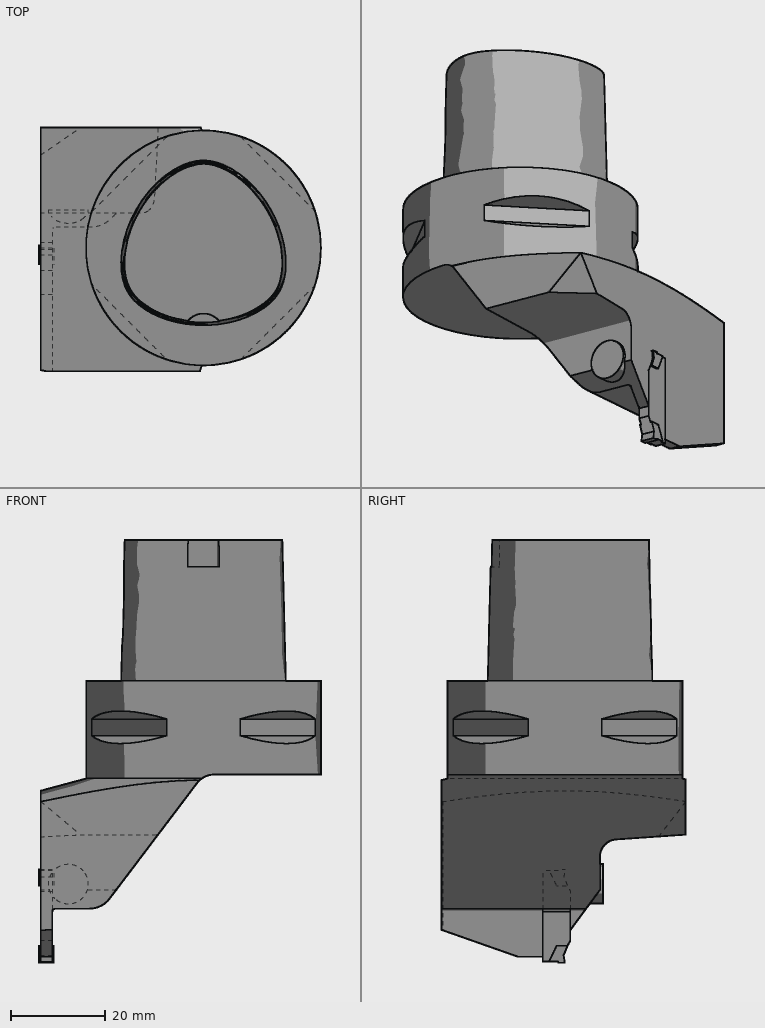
import cadquery as cq
import math


total_width = 60.0
total_height = 90

shank_length = 30.0
shank_base_radius = 17.55
shank_lobe = 1.1
shank_taper = 1 / 40
lobe_count = 3
outline_points = 36
notch_diameter = 8.5
notch_depth = 5.8
notch_center_y = -18.2

flange_radius = 25.0
flange_thickness = 20.0
slot_count = 4
slot_floor_distance = 22.3
slot_center_z = -9.9
slot_floor_half_height = 1.755
slot_mouth_half_height = 3.465

blade_face_x = -34.65
blade_back_x = -32.1
head_max_y = 25.65
head_min_y = -26.3
head_top_angle = 15
head_top_edge_z = -20.8
block_bottom_z = -48.5
block_slope_start_x = -21.6
block_bottom_radius = 5.4
block_flange_radius = 4.5
blade_root_radius = 0.6
blade_tip_z = -58.8
blade_slant_z = -53.0
blade_tip_max_y = -3.1
blade_tip_min_y = -9.9
step_outer_z = -32.8
step_inner_z = -34.0
step_y = 7.5
step_radius = 3.6
step_bottom_z = -44.5
chamfer_y = 5.85
chamfer_bottom_y = head_max_y - chamfer_y
chamfer_bottom_z = -33.2
chamfer_depth_x = 9.0
chamfer_overrun = 1.8
corner_relief_x = 1.3
corner_relief_y = 0.3

screw_diameter = 8.5
screw_x = -28.8
screw_z = -43.2
screw_height = 0.6

insert_min_y = -4.8
insert_max_y = 1.2
insert_bottom_z = shank_length - total_height
insert_half_length = 10.0
insert_center_z = insert_bottom_z + insert_half_length
insert_waist_half = 5.2
tip_inner_half = 6.4
tip_neck_half = 8.4
tip_inner_y = 0.5
tip_neck_y = -0.3
tip_relief_z = 0.3
tip_relief_y = -1.4
tip_end_min_y = -3.4
tip_inner_min_y = -1.8
tip_front_x = flange_radius - total_width
tip_back_x = -31.9


def lobed_outline(radius):
    """Points of a curve of nearly constant width with one lobe toward +Y."""
    points = []
    for i in range(outline_points):
        angle = 2 * math.pi * i / outline_points
        phase = lobe_count * (angle - math.pi / 2)
        support = radius + shank_lobe * math.cos(phase)
        slope = -lobe_count * shank_lobe * math.sin(phase)
        points.append((
            support * math.cos(angle) - slope * math.sin(angle),
            support * math.sin(angle) + slope * math.cos(angle),
        ))
    return points


def make_shank():
    top_radius = shank_base_radius - shank_length * shank_taper
    shank = (
        cq.Workplane("XY")
        .spline(lobed_outline(shank_base_radius), periodic=True).close()
        .workplane(offset=shank_length)
        .spline(lobed_outline(top_radius), periodic=True).close()
        .loft(combine=True)
    )
    notch = (
        cq.Workplane("XY", origin=(0, notch_center_y, shank_length - notch_depth))
        .circle(notch_diameter / 2)
        .extrude(notch_depth)
    )
    return shank.cut(notch)


def make_flange():
    flange = cq.Workplane("XY").circle(flange_radius).extrude(-flange_thickness)
    slot_depth = flange_radius - slot_floor_distance
    slot = (
        cq.Workplane("XZ", origin=(slot_floor_distance, 0, slot_center_z))
        .polyline([
            (0, -slot_floor_half_height),
            (slot_depth, -slot_mouth_half_height),
            (slot_depth, slot_mouth_half_height),
            (0, slot_floor_half_height),
        ])
        .close()
        .extrude(flange_radius, both=True)
    )
    pitch = 360 / slot_count
    for i in range(slot_count):
        flange = flange.cut(slot.rotate((0, 0, 0), (0, 0, 1), pitch * (i + 0.5)))
    return flange


def block_side_prism():
    """Block and blade outline in XZ, with its rounded corners along Y."""
    prism = (
        cq.Workplane("XZ", origin=(0, head_max_y, 0))
        .moveTo(blade_face_x, blade_tip_z)
        .lineTo(blade_back_x, blade_tip_z)
        .lineTo(blade_back_x, block_bottom_z)
        .lineTo(block_slope_start_x, block_bottom_z)
        .lineTo(0, -flange_thickness)
        .lineTo(blade_face_x, -flange_thickness)
        .close()
        .extrude(head_max_y - head_min_y)
    )
    corners = (
        (blade_back_x, block_bottom_z, blade_root_radius),
        (block_slope_start_x, block_bottom_z, block_bottom_radius),
    )
    middle_y = (head_max_y + head_min_y) / 2
    for x, z, radius in corners:
        corner = cq.selectors.NearestToPointSelector((x, middle_y, z))
        prism = prism.edges("|Y").edges(corner).fillet(radius)
    return prism


def head_face_prism():
    """Head outline in YZ, with the stepped and slanted lower edge."""
    prism = (
        cq.Workplane("YZ", origin=(blade_face_x, 0, 0))
        .moveTo(head_max_y, 0)
        .lineTo(head_max_y, step_outer_z)
        .lineTo(step_y, step_inner_z)
        .lineTo(step_y, step_bottom_z)
        .lineTo(insert_max_y, blade_slant_z)
        .lineTo(blade_tip_max_y, blade_tip_z)
        .lineTo(blade_tip_min_y, blade_tip_z)
        .lineTo(head_min_y, blade_slant_z)
        .lineTo(head_min_y, 0)
        .close()
        .extrude(-blade_face_x + flange_radius)
    )
    corner = cq.selectors.NearestToPointSelector((0, step_y, step_inner_z))
    return prism.edges("|X").edges(corner).fillet(step_radius)


def cone_z(radius):
    """Height of the conical top of the head at a distance from the tool axis."""
    return head_top_edge_z - (radius - flange_radius) * math.tan(math.radians(head_top_angle))


def conical_envelope():
    reach = 2 * flange_radius
    return (
        cq.Workplane("XZ")
        .polyline([
            (0, insert_bottom_z),
            (reach, insert_bottom_z),
            (reach, cone_z(reach)),
            (flange_radius, head_top_edge_z),
            (flange_radius, -flange_thickness),
            (0, -flange_thickness),
        ])
        .close()
        .revolve(360, (0, 0, 0), (0, 1, 0))
    )


def corner_chamfer():
    """Tetrahedron cutting the front lower corner on the +Y side of the head."""
    top_z = cone_z(math.hypot(blade_face_x, head_max_y))
    slope = (top_z - chamfer_bottom_z) / chamfer_y
    corner_y = head_max_y + chamfer_overrun
    bottom_z = chamfer_bottom_z - chamfer_overrun
    edge_y = chamfer_bottom_y - chamfer_overrun / slope
    edge_z = top_z + chamfer_overrun * slope
    growth = (edge_z - bottom_z) / (top_z - chamfer_bottom_z)
    corner = cq.Vector(blade_face_x, corner_y, bottom_z)
    upper = cq.Vector(blade_face_x, corner_y, edge_z)
    inner = cq.Vector(blade_face_x, edge_y, bottom_z)
    deep = cq.Vector(blade_face_x + growth * chamfer_depth_x, corner_y, bottom_z)
    triangles = (
        (corner, upper, inner),
        (corner, deep, upper),
        (corner, inner, deep),
        (upper, deep, inner),
    )
    faces = [
        cq.Face.makeFromWires(cq.Wire.makePolygon([*triangle, triangle[0]]))
        for triangle in triangles
    ]
    return cq.Workplane(cq.Solid.makeSolid(cq.Shell.makeShell(faces)))


def make_head():
    head = block_side_prism().intersect(head_face_prism()).intersect(conical_envelope())
    head = head.cut(corner_chamfer())
    relief = (
        cq.Workplane("XY", origin=(blade_face_x, head_min_y, insert_bottom_z))
        .polyline([(0, 0), (corner_relief_x, 0), (0, corner_relief_y)])
        .close()
        .extrude(-insert_bottom_z)
    )
    return head.cut(relief)


def flange_blend():
    """Concave round between the sloped back of the block and the flange underside."""
    slope_angle = math.atan2(-flange_thickness - block_bottom_z, -block_slope_start_x)
    tangent = block_flange_radius * math.tan(slope_angle / 2)
    slope_point = (-tangent * math.cos(slope_angle), -flange_thickness - tangent * math.sin(slope_angle))
    middle = (
        tangent - block_flange_radius * math.sin(slope_angle / 2),
        -flange_thickness - block_flange_radius * (1 - math.cos(slope_angle / 2)),
    )
    wedge = (
        cq.Workplane("XZ", origin=(0, head_max_y, 0))
        .moveTo(0, -flange_thickness)
        .lineTo(*slope_point)
        .threePointArc(middle, (tangent, -flange_thickness))
        .close()
        .extrude(head_max_y - head_min_y)
    )
    return wedge.intersect(conical_envelope())


def make_screw_head():
    length = step_y - insert_max_y + screw_height
    return (
        cq.Workplane("XZ", origin=(screw_x, step_y + screw_height, screw_z))
        .circle(screw_diameter / 2)
        .extrude(length)
    )


def make_insert():
    """Bar lying in the blade, with a raised cutting tip at each end."""
    plane = cq.Workplane("YZ", origin=(blade_face_x, 0, insert_center_z))
    end = insert_half_length
    shoulder = end - tip_relief_z
    edge_up = [
        (insert_max_y, insert_waist_half),
        (tip_inner_y, tip_inner_half),
        (tip_neck_y, tip_neck_half),
        (0, end),
        (tip_relief_y, end),
        (tip_relief_y, shoulder),
        (insert_min_y, shoulder),
    ]
    edge_down = [(y, -z) for y, z in reversed(edge_up)]
    insert = plane.polyline(edge_up + edge_down).close().extrude(blade_back_x - blade_face_x)
    for side in (1, -1):
        tip = (
            cq.Workplane("YZ", origin=(tip_front_x, 0, insert_center_z))
            .polyline([
                (tip_inner_y, side * tip_inner_half),
                (tip_neck_y, side * tip_neck_half),
                (0, side * end),
                (tip_relief_y, side * end),
                (tip_relief_y, side * shoulder),
                (tip_end_min_y, side * shoulder),
                (tip_inner_min_y, side * tip_inner_half),
            ])
            .close()
            .extrude(tip_back_x - tip_front_x)
        )
        insert = insert.union(tip)
    return insert


insert = make_insert()
holder = (
    make_flange()
    .union(make_shank())
    .union(make_head())
    .union(flange_blend())
    .union(make_screw_head())
    .cut(insert)
)

result = cq.Compound.makeCompound([holder.val(), insert.val()])